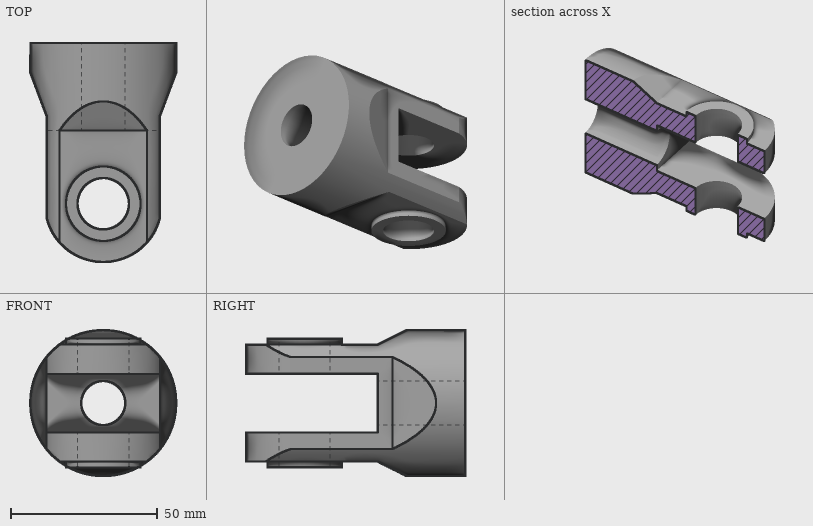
import cadquery as cq

body_diameter = 50.0
rod_bore_diameter = 15.0
pin_bore_diameter = 17.5
boss_diameter = 25.5
boss_height = 2.0

tip_radius = 20.0
back_y = 55.0
tip_y = -tip_radius
body_length = back_y - tip_y

fork_width = 38.8
fork_height = 40.0
slot_height = 20.0
slot_floor_thickness = 30.0
slot_end_y = back_y - slot_floor_thickness

side_taper_start = 10.0
side_taper_end = 25.0
top_taper_start = 20.0
top_taper_end = 30.0

body_radius = body_diameter / 2
height_over_bosses = fork_height + 2 * boss_height


def tapered_prism(plane, width, taper_start, taper_end):
    """Prism with full width at the rear, narrowing to `width` at the fork."""
    start_y = back_y - taper_start
    end_y = back_y - taper_end
    half_profile = [
        (body_radius, back_y),
        (body_radius, start_y),
        (width / 2, end_y),
        (width / 2, tip_y),
    ]
    mirrored = [(-across, along) for across, along in reversed(half_profile)]
    return plane.polyline(half_profile + mirrored).close().extrude(body_radius, both=True)


def pin_cylinder(diameter, height):
    """Cylinder on the pin axis, centred on the rod axis."""
    return cq.Workplane("XY").circle(diameter / 2).extrude(height / 2, both=True)


def fork_body():
    """Round bar with tapered flats on four sides and a rounded end."""
    bar = cq.Workplane("XZ", origin=(0, back_y, 0)).circle(body_radius).extrude(body_length)
    side_prism = tapered_prism(
        cq.Workplane("XY"), fork_width, side_taper_start, side_taper_end
    )
    top_prism = tapered_prism(
        cq.Workplane(cq.Plane((0, 0, 0), xDir=(0, 0, 1), normal=(-1, 0, 0))),
        fork_height, top_taper_start, top_taper_end,
    )
    rear_block = cq.Workplane("XY").box(
        body_diameter, back_y, body_diameter, centered=(True, False, True)
    )
    rounded_end = rear_block.union(pin_cylinder(2 * tip_radius, body_diameter))
    return bar.intersect(side_prism).intersect(top_prism).intersect(rounded_end)


def fork_slot():
    """Gap between the two fork arms, open at the tip."""
    return cq.Workplane("XY").box(
        body_diameter, slot_end_y - tip_y, slot_height, centered=(True, False, True)
    ).translate((0, tip_y, 0))


def rod_bore():
    """Round hole from the rear face into the slot."""
    return (
        cq.Workplane("XZ", origin=(0, back_y, 0))
        .circle(rod_bore_diameter / 2)
        .extrude(back_y - slot_end_y)
    )


result = (
    fork_body()
    .union(pin_cylinder(boss_diameter, height_over_bosses))
    .cut(fork_slot())
    .cut(pin_cylinder(pin_bore_diameter, height_over_bosses))
    .cut(rod_bore())
)